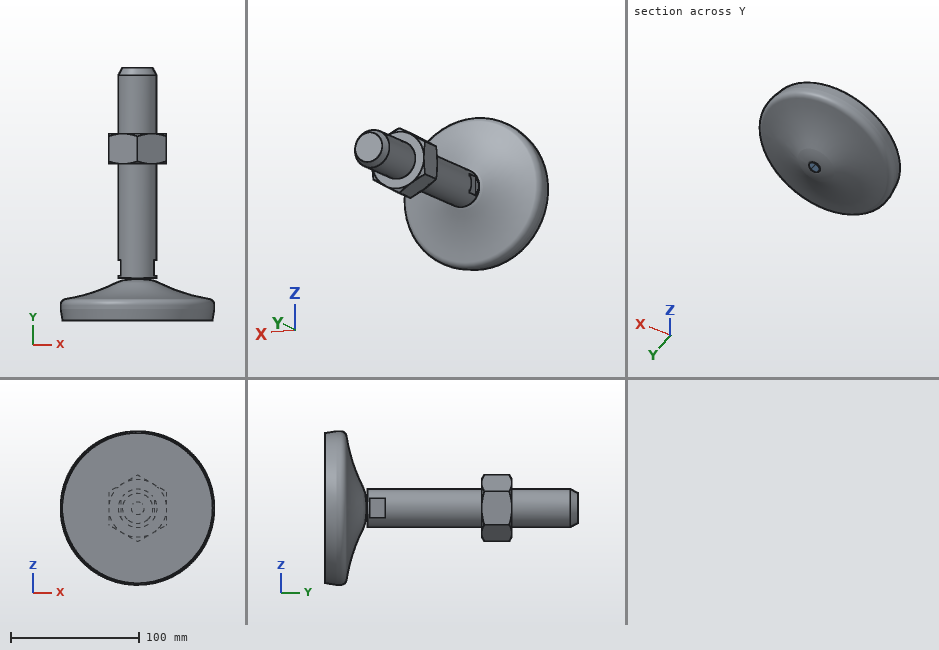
import cadquery as cq
import math


base_diameter = 120.0
underside_diameter = 117.0
taper_height = 9.0
rim_height = 12.0
rim_radius = 5.0
dome_height = 32.0
dome_flat_radius = 6.5
dome_radius = 22.0
dome_angle = math.radians(26.5)
rim_angle = math.radians(9.0)

stud_diameter = 30.0
neck_diameter = 10.0
stud_start = 33.0
stud_end = 197.0
tip_chamfer_length = 6.0
tip_diameter = 23.5
neck_overlap = 1.0

flats_width = 26.0
flats_start = 35.0
flats_end = 47.0

nut_width = 45.0
nut_start = 122.0
nut_height = 23.5
nut_corner_radius = nut_width / math.sqrt(3)
nut_chamfer_radius = nut_width / 2
nut_chamfer_angle = math.radians(30.0)


def revolve_about_y(profile):
    """Turn a closed XY outline once around the Y axis."""
    return profile.revolve(360, (0, 0, 0), (0, 1, 0))


def arc_point(center, radius, angle):
    """Point on a circle, with the angle measured from +Y towards +X."""
    return (center[0] + radius * math.sin(angle), center[1] + radius * math.cos(angle))


def make_base():
    rim_center = (base_diameter / 2 - rim_radius, rim_height)
    rim_middle_angle = (math.pi / 2 + rim_angle) / 2
    dome_center = (dome_flat_radius, dome_height - dome_radius)
    profile = (
        cq.Workplane("XY")
        .lineTo(underside_diameter / 2, 0)
        .lineTo(base_diameter / 2, taper_height)
        .lineTo(base_diameter / 2, rim_height)
        .threePointArc(
            arc_point(rim_center, rim_radius, rim_middle_angle),
            arc_point(rim_center, rim_radius, rim_angle),
        )
        .tangentArcPoint(arc_point(dome_center, dome_radius, dome_angle), relative=False)
        .threePointArc(
            arc_point(dome_center, dome_radius, dome_angle / 2),
            (dome_flat_radius, dome_height),
        )
        .lineTo(0, dome_height)
        .close()
    )
    return revolve_about_y(profile)


def make_stud():
    neck_start = dome_height - neck_overlap
    tip_radius = tip_diameter / 2
    profile = (
        cq.Workplane("XY")
        .moveTo(0, neck_start)
        .lineTo(neck_diameter / 2, neck_start)
        .lineTo(neck_diameter / 2, stud_start)
        .lineTo(stud_diameter / 2, stud_start)
        .lineTo(stud_diameter / 2, stud_end - tip_chamfer_length)
        .lineTo(tip_radius, stud_end)
        .lineTo(0, stud_end)
        .close()
    )
    return revolve_about_y(profile)


def cut_wrench_flats(stud):
    cutter_width = stud_diameter - flats_width
    cutter_length = flats_end - flats_start
    for side in (-1, 1):
        cutter = cq.Workplane("XY").box(cutter_width, cutter_length, stud_diameter)
        cutter_x = side * (flats_width + cutter_width) / 2
        stud = stud.cut(cutter.translate((cutter_x, (flats_start + flats_end) / 2, 0)))
    return stud


def make_nut():
    corners = []
    for i in range(6):
        angle = math.radians(60 * i)
        corners.append((nut_corner_radius * math.sin(angle), nut_corner_radius * math.cos(angle)))
    nut_end = nut_start + nut_height
    hexagon = (
        cq.Workplane("XZ", origin=(0, nut_start, 0))
        .polyline(corners)
        .close()
        .extrude(-nut_height)
    )
    chamfer_height = (nut_corner_radius - nut_chamfer_radius) * math.tan(nut_chamfer_angle)
    envelope = revolve_about_y(
        cq.Workplane("XY")
        .moveTo(0, nut_start)
        .lineTo(nut_chamfer_radius, nut_start)
        .lineTo(nut_corner_radius, nut_start + chamfer_height)
        .lineTo(nut_corner_radius, nut_end - chamfer_height)
        .lineTo(nut_chamfer_radius, nut_end)
        .lineTo(0, nut_end)
        .close()
    )
    return hexagon.intersect(envelope)


stud_with_flats = cut_wrench_flats(make_stud())
result = make_base().union(stud_with_flats).union(make_nut())